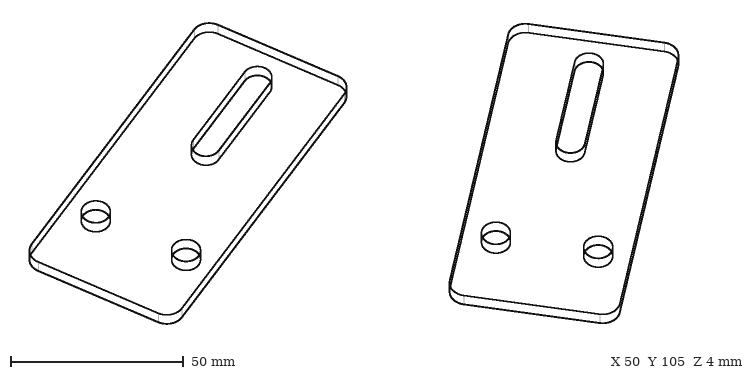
import cadquery as cq

width = 50.0
length = 105
thickness = 4.0
corner_radius = 5.0

hole_diameter = 8.4
hole_spacing = 30.0
hole_edge_distance = 25.0
slot_edge_distance = 12.0

hole_y = hole_edge_distance - length / 2
slot_y = length / 2 - slot_edge_distance - hole_spacing / 2
slot_length = hole_spacing + hole_diameter

plate = cq.Workplane("XY").box(width, length, thickness).edges("|Z").fillet(corner_radius)

plate = (
    plate.faces(">Z").workplane(origin=(0, 0, 0))
    .pushPoints([(side * hole_spacing / 2, hole_y) for side in (-1, 1)])
    .hole(hole_diameter)
)

result = (
    plate.faces(">Z").workplane(origin=(0, 0, 0))
    .center(0, slot_y)
    .slot2D(slot_length, hole_diameter, angle=90)
    .cutThruAll()
)